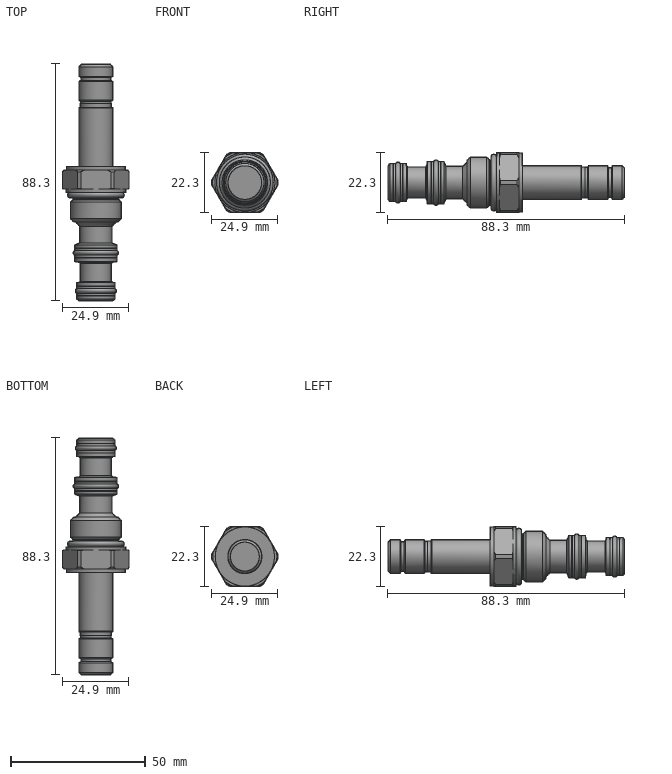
import cadquery as cq
import math

OVERALL_LENGTH = 88.3

TUBE_RADIUS = 6.4
TUBE_END_CHAMFER = 1.0
END_GROOVE_LOW = 81.9
END_GROOVE_HIGH = 83.8
END_GROOVE_RADIUS = 5.6
END_GROOVE_TAPER = 0.4
STEP_GROOVE_LOW = 72.25
STEP_GROOVE_HIGH = 74.9
STEP_GROOVE_TAPER = 0.4
STEP_GROOVE_RADIUS = 5.8
STEP_GROOVE_DEEP_LOW = 73.6
STEP_GROOVE_DEEP_RADIUS = 5.7
TUBE_SHOULDER_LENGTH = 0.3
TUBE_SHOULDER_DROP = 0.1

HEX_SIDES = 6
HEX_ACROSS_FLATS = 22.3
HEX_CORNER_RADIUS = 12.45
HEX_LOW = 41.7
HEX_HIGH = 48.8
HEX_LOW_FACE_RADIUS = 12.0
HEX_LOW_CHAMFER = 0.3
HEX_HIGH_FACE_RADIUS = 11.9
HEX_HIGH_CHAMFER = 0.7
UPPER_FLANGE_RADIUS = 11.0
UPPER_FLANGE_LENGTH = 1.3
LOWER_FLANGE_OVERHANG = 0.05
LOWER_FLANGE_RADIUS = HEX_ACROSS_FLATS / 2 + LOWER_FLANGE_OVERHANG
LOWER_FLANGE_LENGTH = 1.15

COLLAR_RADIUS = 9.5
COLLAR_LOW = 30.7
COLLAR_HIGH = 36.8
COLLAR_TOP_CHAMFER = 0.9
COLLAR_BOTTOM_CHAMFER = 1.3
COLLAR_CONE_RADIUS = 7.6
COLLAR_TOP_BLEND_LENGTH = 0.35

UPPER_NECK_RADIUS = 6.1
LOWER_NECK_RADIUS = 5.8
NECK_BLEND_WIDTH = 0.2
NECK_BLEND_LENGTH = 0.3
MID_LAND_RADIUS = 7.95
MID_LAND_LOW = 14.7
MID_LAND_HIGH = 20.8
MID_LAND_CONE_LENGTH = 0.8
MID_FACE_LENGTH = 0.3
MID_FACE_INNER_RADIUS = 6.3
MID_BLEND_LENGTH = 0.4
NOSE_LAND_RADIUS = 7.15
NOSE_LAND_HIGH = 6.9
NOSE_HUB_RADIUS = 6.3
NOSE_HUB_LENGTH = 0.2
NOSE_CONE_LENGTH = 0.3
NOSE_FACE_RADIUS = 6.3
NOSE_CHAMFER_LENGTH = 0.7

FLANGE_RING_SECTION = 1.1
FLANGE_RING_OUTER = 10.6
FLANGE_GROOVE_RADIUS = FLANGE_RING_OUTER - 2 * FLANGE_RING_SECTION
FLANGE_FACE_Y = HEX_LOW - LOWER_FLANGE_LENGTH
FLANGE_RING_Y = FLANGE_FACE_Y - FLANGE_RING_SECTION
LAND_RING_SECTION = 0.9
MID_RING_OUTER = 8.5
MID_RING_Y = 17.9
NOSE_RING_OUTER = 7.7
NOSE_RING_Y = 3.7

SLIT_OFFSET = 1.8
MID_SLIT_WIDTH = 0.3
MID_SLIT_DEPTH = 0.2
NOSE_SLIT_WIDTH = 0.1
NOSE_SLIT_DEPTH = 0.7


def revolve_about_y(sketch):
    """Turn a closed sketch, drawn as (radius, Y), fully about the Y axis."""
    return sketch.revolve(360, (0, 0, 0), (0, 1, 0))


def turned(points):
    """Solid of revolution whose outer profile is the given (radius, Y) points, low Y first."""
    axis_start = (0, points[0][1])
    axis_end = (0, points[-1][1])
    return revolve_about_y(cq.Workplane("XY").polyline([axis_start, *points, axis_end]).close())


def band(inner_radius, outer_radius, low, high):
    """Square-edged ring, used to cut grooves and slits."""
    sketch = cq.Workplane("XY").moveTo(inner_radius, low).lineTo(outer_radius, low)
    return revolve_about_y(sketch.lineTo(outer_radius, high).lineTo(inner_radius, high).close())


def make_o_ring(position, outer_radius, section_radius):
    """Torus about the Y axis; the sketch origin sits at the centre of its section."""
    ring_radius = outer_radius - section_radius
    sketch = cq.Workplane("XY").center(ring_radius, position).circle(section_radius)
    return sketch.revolve(360, (-ring_radius, 0, 0), (-ring_radius, 1, 0))


def make_nose():
    """Lower stem: nose land, lower neck, middle land, upper neck, collar and flange groove."""
    nose_hub_high = NOSE_LAND_HIGH + NOSE_HUB_LENGTH
    collar_bottom = COLLAR_LOW - COLLAR_BOTTOM_CHAMFER
    collar_top = COLLAR_HIGH + COLLAR_TOP_CHAMFER
    neck_blend_radius = UPPER_NECK_RADIUS + NECK_BLEND_WIDTH
    neck_blend_high = collar_bottom - (COLLAR_CONE_RADIUS - neck_blend_radius)
    mid_face_low = MID_LAND_LOW - MID_FACE_LENGTH
    return turned([
        (NOSE_FACE_RADIUS, 0),
        (NOSE_LAND_RADIUS, NOSE_CHAMFER_LENGTH),
        (NOSE_LAND_RADIUS, NOSE_LAND_HIGH),
        (NOSE_HUB_RADIUS, NOSE_LAND_HIGH),
        (NOSE_HUB_RADIUS, nose_hub_high),
        (LOWER_NECK_RADIUS, nose_hub_high + NOSE_CONE_LENGTH),
        (LOWER_NECK_RADIUS, mid_face_low - MID_BLEND_LENGTH),
        (MID_FACE_INNER_RADIUS, mid_face_low),
        (MID_LAND_RADIUS, MID_LAND_LOW),
        (MID_LAND_RADIUS, MID_LAND_HIGH),
        (UPPER_NECK_RADIUS, MID_LAND_HIGH + MID_LAND_CONE_LENGTH),
        (UPPER_NECK_RADIUS, neck_blend_high - NECK_BLEND_LENGTH),
        (neck_blend_radius, neck_blend_high),
        (COLLAR_CONE_RADIUS, collar_bottom),
        (COLLAR_RADIUS - COLLAR_BOTTOM_CHAMFER, collar_bottom),
        (COLLAR_RADIUS, COLLAR_LOW),
        (COLLAR_RADIUS, COLLAR_HIGH),
        (COLLAR_RADIUS - COLLAR_TOP_CHAMFER, collar_top),
        (FLANGE_GROOVE_RADIUS, collar_top + COLLAR_TOP_BLEND_LENGTH),
        (FLANGE_GROOVE_RADIUS, FLANGE_FACE_Y),
    ])


def make_hex():
    """Hexagon with chamfered corners, trimmed from a turned blank that includes both flanges."""
    blank = turned([
        (LOWER_FLANGE_RADIUS, FLANGE_FACE_Y),
        (LOWER_FLANGE_RADIUS, HEX_LOW),
        (HEX_LOW_FACE_RADIUS, HEX_LOW),
        (HEX_CORNER_RADIUS, HEX_LOW + HEX_LOW_CHAMFER),
        (HEX_CORNER_RADIUS, HEX_HIGH - HEX_HIGH_CHAMFER),
        (HEX_HIGH_FACE_RADIUS, HEX_HIGH),
        (UPPER_FLANGE_RADIUS, HEX_HIGH),
        (UPPER_FLANGE_RADIUS, HEX_HIGH + UPPER_FLANGE_LENGTH),
    ])
    prism_length = HEX_HIGH + UPPER_FLANGE_LENGTH - FLANGE_FACE_Y
    hex_across_corners = HEX_ACROSS_FLATS / math.cos(math.pi / HEX_SIDES)
    prism = (
        cq.Workplane("XZ", origin=(0, FLANGE_FACE_Y, 0))
        .polygon(HEX_SIDES, hex_across_corners)
        .extrude(-prism_length)
    )
    return blank.intersect(prism)


def make_tube():
    """Tube with a stepped groove, an end groove and a chamfered end."""
    return turned([
        (TUBE_RADIUS, HEX_HIGH + UPPER_FLANGE_LENGTH),
        (TUBE_RADIUS, STEP_GROOVE_LOW - TUBE_SHOULDER_LENGTH),
        (TUBE_RADIUS - TUBE_SHOULDER_DROP, STEP_GROOVE_LOW),
        (STEP_GROOVE_RADIUS, STEP_GROOVE_LOW),
        (STEP_GROOVE_RADIUS, STEP_GROOVE_DEEP_LOW),
        (STEP_GROOVE_DEEP_RADIUS, STEP_GROOVE_DEEP_LOW),
        (STEP_GROOVE_DEEP_RADIUS, STEP_GROOVE_HIGH - STEP_GROOVE_TAPER),
        (TUBE_RADIUS, STEP_GROOVE_HIGH),
        (TUBE_RADIUS, END_GROOVE_LOW),
        (END_GROOVE_RADIUS, END_GROOVE_LOW + END_GROOVE_TAPER),
        (END_GROOVE_RADIUS, END_GROOVE_HIGH - END_GROOVE_TAPER),
        (TUBE_RADIUS, END_GROOVE_HIGH),
        (TUBE_RADIUS, OVERALL_LENGTH - TUBE_END_CHAMFER),
        (TUBE_RADIUS - TUBE_END_CHAMFER, OVERALL_LENGTH),
    ])


def cut_seal_land(body, ring_y, ring_outer, land_radius, slit_width, slit_depth):
    """Cut the O-ring groove of a land and the narrow slit on each side of it."""
    groove_radius = ring_outer - 2 * LAND_RING_SECTION
    body = body.cut(band(groove_radius, ring_outer, ring_y - LAND_RING_SECTION, ring_y + LAND_RING_SECTION))
    for side in (-1, 1):
        slit_y = ring_y + side * SLIT_OFFSET
        slit_low = slit_y - slit_width / 2
        body = body.cut(band(land_radius - slit_depth, ring_outer, slit_low, slit_low + slit_width))
    return body


def make_valve_body():
    body = make_nose().union(make_hex()).union(make_tube())
    body = cut_seal_land(
        body, MID_RING_Y, MID_RING_OUTER, MID_LAND_RADIUS, MID_SLIT_WIDTH, MID_SLIT_DEPTH
    )
    return cut_seal_land(
        body, NOSE_RING_Y, NOSE_RING_OUTER, NOSE_LAND_RADIUS, NOSE_SLIT_WIDTH, NOSE_SLIT_DEPTH
    )


valve_body = make_valve_body()

O_RINGS = [
    (FLANGE_RING_Y, FLANGE_RING_OUTER, FLANGE_RING_SECTION),
    (MID_RING_Y, MID_RING_OUTER, LAND_RING_SECTION),
    (NOSE_RING_Y, NOSE_RING_OUTER, LAND_RING_SECTION),
]
o_rings = [make_o_ring(*dimensions).val() for dimensions in O_RINGS]

result = cq.Compound.makeCompound([valve_body.val(), *o_rings])